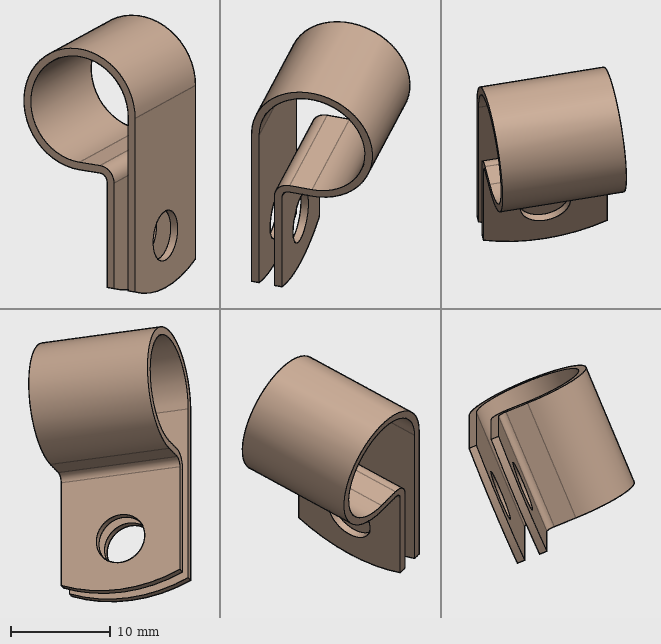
import cadquery as cq
import math

total_height = 25.95
strap_width = 12.7
thickness = 0.8
loop_outer_radius = 6.368
leg_gap = 1.6
bend_inner_radius = 0.8
hole_diameter = 5.15
hole_height = 5.5
end_sag = 1.3

loop_inner_radius = loop_outer_radius - thickness
bottom_z = loop_outer_radius - total_height
bend_outer_radius = bend_inner_radius + thickness
short_leg_outer_x = loop_inner_radius - leg_gap
short_leg_inner_x = short_leg_outer_x - thickness
bend_x = short_leg_outer_x - bend_outer_radius
bend_z = -loop_inner_radius - bend_outer_radius
diagonal = math.sqrt(0.5)


def bend_middle(radius):
    """Point halfway around the bend between loop and short leg."""
    return (bend_x + radius * diagonal, bend_z + radius * diagonal)


def loop_middle(radius):
    """Point halfway around the three-quarter loop."""
    return (-radius * diagonal, radius * diagonal)


def make_strap():
    """Bent strip: long leg, three-quarter loop, bend and short leg."""
    profile = (
        cq.Workplane("XZ")
        .moveTo(loop_outer_radius, bottom_z)
        .lineTo(loop_outer_radius, 0)
        .threePointArc(loop_middle(loop_outer_radius), (0, -loop_outer_radius))
        .lineTo(bend_x, -loop_outer_radius)
        .threePointArc(bend_middle(bend_inner_radius), (short_leg_inner_x, bend_z))
        .lineTo(short_leg_inner_x, bottom_z)
        .lineTo(short_leg_outer_x, bottom_z)
        .lineTo(short_leg_outer_x, bend_z)
        .threePointArc(bend_middle(bend_outer_radius), (bend_x, -loop_inner_radius))
        .lineTo(0, -loop_inner_radius)
        .threePointArc(loop_middle(loop_inner_radius), (loop_inner_radius, 0))
        .lineTo(loop_inner_radius, bottom_z)
        .close()
    )
    return profile.extrude(strap_width / 2, both=True)


def make_end_envelope():
    """Side outline with the arched lower edge shared by both legs."""
    half_width = strap_width / 2
    corner_z = bottom_z + end_sag
    return (
        cq.Workplane("YZ")
        .moveTo(-half_width, loop_outer_radius)
        .lineTo(-half_width, corner_z)
        .threePointArc((0, bottom_z), (half_width, corner_z))
        .lineTo(half_width, loop_outer_radius)
        .close()
        .extrude(loop_outer_radius, both=True)
    )


def make_screw_hole():
    """Cylinder along X passing through both legs."""
    return (
        cq.Workplane("YZ")
        .center(0, bottom_z + hole_height)
        .circle(hole_diameter / 2)
        .extrude(loop_outer_radius)
    )


result = make_strap().intersect(make_end_envelope()).cut(make_screw_hole())